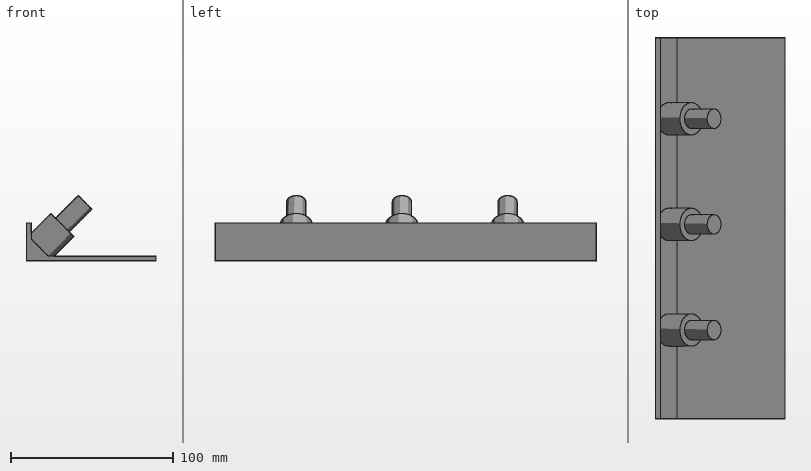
import cadquery as cq

width = 80.0
length = 235.0
wall_height = 23.5
thickness = 3.0
web_leg = 10.3

boss_diameter = 20.0
pin_diameter = 12.0
boss_length = 19.7
pin_length = 19.7
pin_count = 3
pin_pitch = 65.0
end_margin = 50.0


def make_bracket():
    """L-shaped section with a sloped web, extruded evenly to both sides of Y = 0."""
    web_end = thickness + web_leg
    outline = [
        (0, 0),
        (width, 0),
        (width, thickness),
        (web_end, thickness),
        (thickness, web_end),
        (thickness, wall_height),
        (0, wall_height),
    ]
    return cq.Workplane("XZ").polyline(outline).close().extrude(length / 2, both=True)


def make_stepped_pin(y):
    """Boss and thinner pin on one axis, leaning 45 degrees towards +X."""
    web_middle = thickness + web_leg / 2
    seat = cq.Plane(origin=(web_middle, y, web_middle), xDir=(0, 1, 0), normal=(1, 0, 1))
    boss = cq.Workplane(seat).circle(boss_diameter / 2).extrude(boss_length)
    pin = cq.Workplane(seat).circle(pin_diameter / 2).extrude(boss_length + pin_length)
    return boss.union(pin)


result = make_bracket()
for index in range(pin_count):
    pin_y = length / 2 - end_margin - index * pin_pitch
    result = result.union(make_stepped_pin(pin_y))